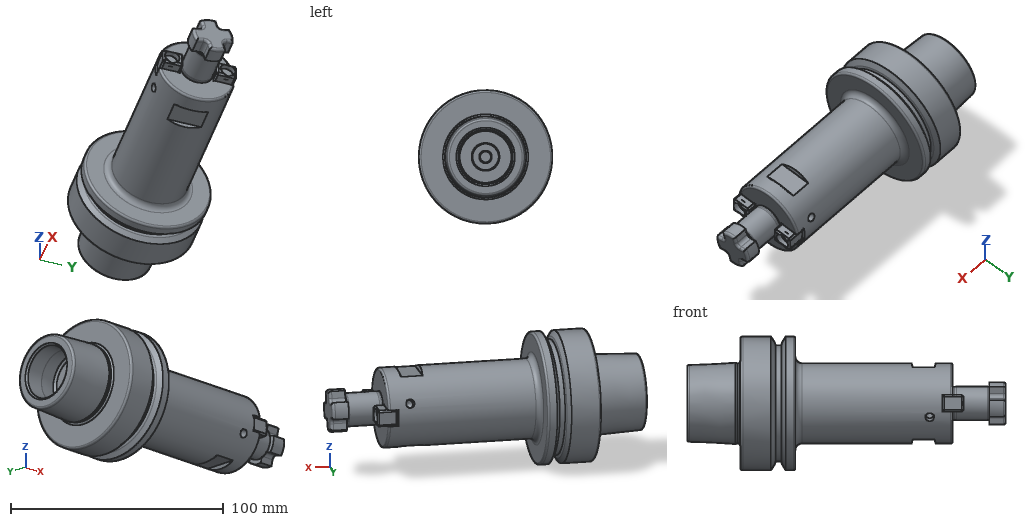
import cadquery as cq
import math


overall_length = 150.0
flange_start = 25.0
groove_start = 39.5
flange_end = 51.0
body_end = 125.0
pilot_end = 142.0

shank_front_radius = 18.2
shank_rear_radius = 19.2
neck_radius = 18.9
flange_radius = 31.5
groove_floor_radius = 27.5
body_diameter = 38.0
body_radius = body_diameter / 2
pilot_radius = 8.0
edge_round = 1.0

taper_end = 22.6
neck_start = 23.5
neck_end = 24.5
neck_flare_radius = 20.1

groove_floor_start = 41.7
groove_floor_end = 44.2
groove_step_radius = 28.8
groove_step_run = 0.5
groove_end = 46.4
root_fillet = 3.0
root_fillet_radius = body_radius + root_fillet

relief_length = 1.6
relief_depth = 0.08
pilot_tip_length = 0.8
pilot_tip_bevel = 0.08

mouth_radius = 13.8
mouth_bevel = 0.9
bore_radius = mouth_radius - mouth_bevel
bore_depth = 9.8
cavity_radius = 13.5
cavity_depth = 18.3
floor_depth = 19.2
floor_radius = 12.2
supply_radius = 6.6
supply_depth = 13.5
supply_chamfer = 0.5
channel_radius = 3.0
channel_chamfer = 0.5

cut_clearance = 1.5

flats_across = 34.0
flat_height = flats_across / 2
flat_start = 106.2
flat_end = 116.4
flat_wall_run = 0.6

radial_hole_diameter = 4.0
radial_hole_radius = radial_hole_diameter / 2
radial_hole_x = 114.2
radial_hole_depth = 4.2
radial_hole_tilt = 20.0
drill_half_angle = 59.0

key_start = 120.0
key_end = 130.0
key_inner = 8.2
key_outer = 18.2
key_width = 8.0
key_chamfer = 0.9
key_recess_radius = 3.6
key_recess_offset = 13.8
key_recess_depth = 3.0

head_radius = 10.0
head_round = 1.4
screw_shank_radius = 4.0
screw_tip = 90.0
slot_count = 4
slot_phase = 30.0
slot_root_distance = 7.0
slot_root_half_width = 1.4
slot_wall_angle = 45.0

pair_turns = (0, 180)


def revolve_about_x(profile):
    """Solid of revolution from an X-radius outline drawn in the XY plane."""
    return profile.close().revolve(360, (0, 0, 0), (1, 0, 0))


def turn_about_x(shape, angle):
    return shape.rotate((0, 0, 0), (1, 0, 0), angle)


def holder_blank():
    """Outside of the shank, flange, body and pilot; bend is the inset of each rounded corner's midpoint."""
    bend = edge_round * (1 - math.sqrt(0.5))
    profile = (
        cq.Workplane("XY")
        .moveTo(0, 0)
        .lineTo(0, shank_front_radius - edge_round)
        .threePointArc((bend, shank_front_radius - bend), (edge_round, shank_front_radius))
        .lineTo(taper_end, shank_rear_radius)
        .lineTo(neck_start, neck_radius)
        .lineTo(neck_end, neck_radius)
        .lineTo(flange_start, neck_flare_radius)
        .lineTo(flange_start, flange_radius - edge_round)
        .threePointArc((flange_start + bend, flange_radius - bend), (flange_start + edge_round, flange_radius))
        .lineTo(groove_start, flange_radius)
        .lineTo(groove_floor_start - groove_step_run, groove_step_radius)
        .lineTo(groove_floor_start, groove_floor_radius)
        .lineTo(groove_floor_end, groove_floor_radius)
        .lineTo(groove_floor_end + groove_step_run, groove_step_radius)
        .lineTo(groove_end, flange_radius)
        .lineTo(flange_end - edge_round, flange_radius)
        .threePointArc((flange_end - bend, flange_radius - bend), (flange_end, flange_radius - edge_round))
        .lineTo(flange_end, root_fillet_radius)
        .radiusArc((flange_end + root_fillet, body_radius), -root_fillet)
        .lineTo(body_end - edge_round, body_radius)
        .threePointArc((body_end - bend, body_radius - bend), (body_end, body_radius - edge_round))
        .lineTo(body_end, pilot_radius)
        .lineTo(body_end + relief_length / 2, pilot_radius - relief_depth)
        .lineTo(body_end + relief_length, pilot_radius)
        .lineTo(pilot_end - pilot_tip_length, pilot_radius)
        .lineTo(pilot_end, pilot_radius - pilot_tip_bevel)
        .lineTo(pilot_end, 0)
    )
    return revolve_about_x(profile)


def shank_bore():
    """Shank cavity, the stepped hole behind it and the channel up to the retaining screw."""
    supply_end = floor_depth + supply_depth
    profile = (
        cq.Workplane("XY")
        .moveTo(0, 0)
        .lineTo(0, mouth_radius)
        .lineTo(mouth_bevel, bore_radius)
        .lineTo(bore_depth, bore_radius)
        .lineTo(cavity_depth, cavity_radius)
        .lineTo(floor_depth, floor_radius)
        .lineTo(floor_depth, supply_radius)
        .lineTo(floor_depth + supply_chamfer, supply_radius - supply_chamfer)
        .lineTo(supply_end, supply_radius - supply_chamfer)
        .lineTo(supply_end, channel_radius)
        .lineTo(supply_end + channel_chamfer, channel_radius - channel_chamfer)
        .lineTo(screw_tip, channel_radius - channel_chamfer)
        .lineTo(screw_tip, 0)
    )
    return revolve_about_x(profile)


def flat_cutters():
    """Blocks with sloping ends that leave a spanner flat on the +Z and -Z sides."""
    top = body_radius + cut_clearance
    run = flat_wall_run * (top - flat_height) / (body_radius - flat_height)
    upper = (
        cq.Workplane("XZ")
        .polyline([
            (flat_start, flat_height),
            (flat_end, flat_height),
            (flat_end + run, top),
            (flat_start - run, top),
        ])
        .close()
        .extrude(body_radius, both=True)
    )
    return upper.union(upper.mirror("XY"))


def radial_hole(turn):
    """Blind hole with a drill-point floor."""
    tip = radial_hole_radius / math.tan(math.radians(drill_half_angle))
    floor = body_radius - radial_hole_depth
    top = body_radius + cut_clearance
    hole = (
        cq.Workplane("XY")
        .moveTo(0, top)
        .lineTo(radial_hole_radius, top)
        .lineTo(radial_hole_radius, floor)
        .lineTo(0, floor - tip)
        .close()
        .revolve(360, (0, 0, 0), (0, 1, 0))
    )
    return turn_about_x(hole.translate((radial_hole_x, 0, 0)), radial_hole_tilt + turn)


def screw_shank():
    return (
        cq.Workplane("YZ", origin=(screw_tip, 0, 0))
        .circle(screw_shank_radius)
        .extrude(pilot_end - screw_tip)
    )


def key_block(outer):
    """Plain block in the key's place, reaching out to the given distance from the axis."""
    return (
        cq.Workplane("XY", origin=(key_start, key_inner, 0))
        .box(key_end - key_start, outer - key_inner, key_width, centered=(False, False, True))
    )


def make_holder():
    holder = holder_blank().cut(shank_bore()).cut(flat_cutters()).cut(screw_shank())
    for turn in pair_turns:
        holder = holder.cut(radial_hole(turn))
        holder = holder.cut(turn_about_x(key_block(body_radius + cut_clearance), turn))
    return holder


def make_key(turn):
    """Chamfered drive key with a counterbore in its +X face."""
    key = key_block(key_outer).edges().chamfer(key_chamfer)
    recess = (
        cq.Workplane("YZ", origin=(key_end - key_recess_depth, key_recess_offset, 0))
        .circle(key_recess_radius)
        .extrude(key_recess_depth)
    )
    return turn_about_x(key.cut(recess), turn)


def head_slot(angle):
    """V-shaped drive slot with a round root, open at the rim of the screw head."""
    root_angle = math.radians(slot_wall_angle)
    arc = slot_root_half_width / math.cos(root_angle)
    root = slot_root_distance - arc * (1 - math.sin(root_angle))
    reach = head_radius + cut_clearance
    spread = slot_root_half_width + (reach - slot_root_distance) * math.tan(root_angle)
    slot = (
        cq.Workplane("YZ", origin=(pilot_end, 0, 0))
        .moveTo(-reach, spread)
        .lineTo(-slot_root_distance, slot_root_half_width)
        .threePointArc((-root, 0), (-slot_root_distance, -slot_root_half_width))
        .lineTo(-reach, -spread)
        .close()
        .extrude(overall_length - pilot_end)
    )
    return turn_about_x(slot, -angle)


def make_retaining_screw():
    head = (
        cq.Workplane("YZ", origin=(pilot_end, 0, 0))
        .circle(head_radius)
        .extrude(overall_length - pilot_end)
    )
    for i in range(slot_count):
        head = head.cut(head_slot(slot_phase + i * 360 / slot_count))
    head = head.faces(">X").edges().fillet(head_round)
    return head.union(screw_shank())


holder = make_holder()
keys = [make_key(turn) for turn in pair_turns]
retaining_screw = make_retaining_screw()

result = cq.Compound.makeCompound([holder.val(), *[key.val() for key in keys], retaining_screw.val()])